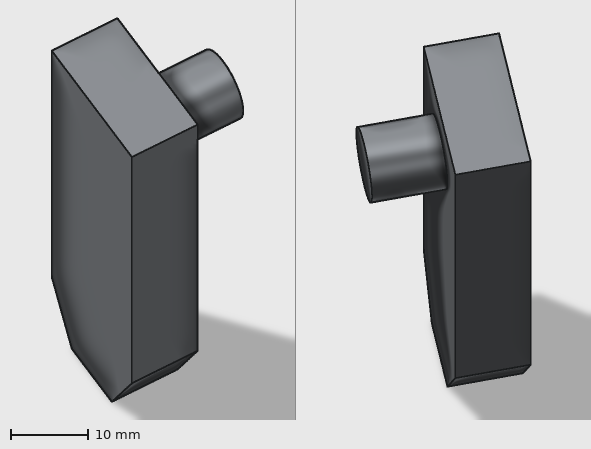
import cadquery as cq

length = 60.0
width = length / 3
thickness = length / 6
tip_width = width / 2
taper_height = length / 6

pin_diameter = length / 6
pin_length = length / 6
pin_height = length - length / 6


def make_bar():
    """Flat bar standing on its narrow tip, front face on the XZ plane."""
    outline = [
        (-tip_width / 2, 0),
        (tip_width / 2, 0),
        (width / 2, taper_height),
        (width / 2, length),
        (-width / 2, length),
        (-width / 2, taper_height),
    ]
    return cq.Workplane("XZ").polyline(outline).close().extrude(-thickness)


def make_pin():
    """Pin that stands out toward +Y from the back face."""
    back_plane = cq.Workplane("XZ", origin=(0, thickness, pin_height))
    return back_plane.circle(pin_diameter / 2).extrude(-pin_length)


result = make_bar().union(make_pin())